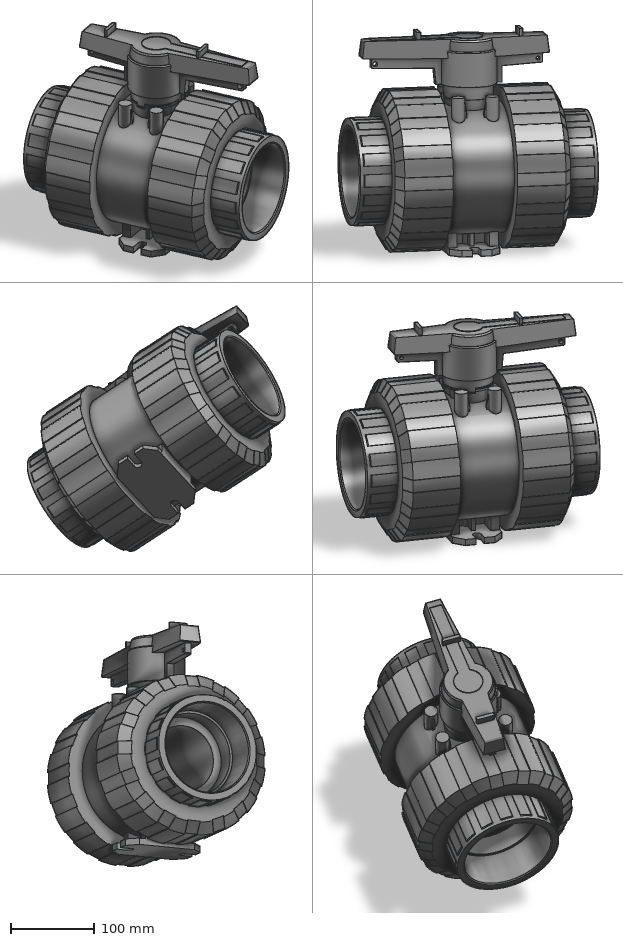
import math

import cadquery as cq

TOTAL_LENGTH = 291.5
BODY_RADIUS = 79.5
BODY_HALF_LENGTH = 76.7
BORE_RADIUS = 40.0

NUT_RADIUS = 98.2
NUT_INNER_X = 39.4
NUT_OUTER_X = 107.5
NUT_BEVEL_LENGTH = 8.7
NUT_BEVEL_DEPTH = 14.3
NUT_SLOT_COUNT = 16
NUT_SLOT_WIDTH = 16.0
NUT_SLOT_DEPTH = 1.5

SOCKET_RADIUS = 64.5
SOCKET_MOUTH_RADIUS = 54.8
SOCKET_BORE_END_RADIUS = 53.3
SOCKET_STOP_RADIUS = 50.0
SOCKET_DEPTH = 43.7
SOCKET_MOUTH_CHAMFER = 1.5
PAD_COUNT = 16
PAD_ANGLE = 13.5
PAD_HEIGHT = 1.0
PAD_END_GAP = 4.0
PAD_END_SLOPE = 1.2

NECK_RADIUS = 29.0
NECK_TOP_Z = 87.2
STOP_RADIUS = 30.3
STOP_START_ANGLE = -153.0
STOP_DIP_START_ANGLE = -112.0
STOP_DIP_END_ANGLE = -90.0
STOP_END_ANGLE = -27.0
STOP_LEFT_TOP_Z = 89.0
STOP_DIP_TOP_Z = 85.5
STOP_RIGHT_TOP_Z = 90.5
STOP_CLEARANCE = 1.5
SKIRT_NOTCH_START_ANGLE = -180.0
SKIRT_NOTCH_END_ANGLE = 0.0
POST_RADIUS = 8.2
POST_X = 21.0
POST_Y = 40.0
POST_TOP_Z = 93.0
SIDE_FIN_REACH = 2.2
INNER_FIN_REACH = 1.2
INNER_FIN_OFFSET_X = 3.5
FIN_WIDTH = 3.5
FIN_TOP_Z = 86.0
FIN_BASE_Z = 73.2

FOOT_BOTTOM_Z = -100.0
FOOT_TOP_Z = -92.0
FOOT_LENGTH = 62.0
FOOT_WIDTH = 98.8
FOOT_CORNER_X = 12.5
FOOT_CORNER_Y = 13.0
FOOT_SLOT_WIDTH = 10.5
FOOT_SLOT_CENTRE_Y = 36.1
LEG_THICKNESS = 11.5
LEG_WIDTH = 56.8
FOOT_WEB_WIDTH = 3.0
FOOT_BOSS_RADIUS = 7.3
FOOT_RIB_THICKNESS = 5.0
FOOT_RIB_WIDTH = 43.7

SKIRT_RADIUS = STOP_RADIUS
HUB_RADIUS = 34.5
HUB_BOTTOM_Z = 103.2
HUB_SHOULDER_Z = 146.0
HUB_EDGE_CHAMFER = 1.5
CAP_BASE_RADIUS = 32.0
CAP_TOP_RADIUS = 30.5
CAP_EDGE_INSET = 1.5
CAP_EDGE_DROP = 2.3
HANDLE_TOP_Z = 159.7
LEVER_REAR_X = -97.0
LEVER_FRONT_X = 132.0
LEVER_REAR_HALF_WIDTH = 14.0
LEVER_FRONT_HALF_WIDTH = 11.7
LEVER_MIDDLE_HALF_WIDTH = 21.0
LEVER_MIDDLE_Z = 136.5
LEVER_END_Z = 138.8
LEVER_DRAFT = 6.5
LEVER_END_FILLET = 1.7
LEVER_END_BEVEL_INSET = 1.0
LEVER_END_BEVEL_RISE = 2.0
WEB_REAR_X = -90.5
WEB_FRONT_X = 119.8
WEB_HEIGHT = 13.5
WEB_END_CHAMFER = 1.5
WEB_END_HALF_WIDTH = 4.0
WEB_MIDDLE_HALF_WIDTH = 5.5
GUSSET_REAR_X = -40.5
GUSSET_FRONT_BOTTOM_X = 40.5
GUSSET_FRONT_TOP_X = 42.5
HOLE_Z = 130.5
REAR_HOLE_X = -84.8
REAR_HOLE_RADIUS = 2.3
FRONT_HOLE_X = 114.9
FRONT_HOLE_RADIUS = 3.0
BADGE_RADIUS = 17.5
BADGE_STRIP_WIDTH = 15.2
BADGE_END_X = 119.8
BADGE_HEIGHT = 1.0
TAB_X = 62.7
TAB_THICKNESS = 4.5
TAB_WIDTH = 22.5
TAB_TOP_Z = 168.5
TAB_EDGE_FILLET = 2.0


def x_cylinder(radius, start_x, end_x):
    """Cylinder on the X axis between two X positions."""
    return cq.Workplane("YZ").workplane(offset=start_x).circle(radius).extrude(end_x - start_x)


def revolve_about_x(points):
    """Revolve an outline of (x, radius) points around the X axis."""
    return cq.Workplane("XY").polyline(points).close().revolve(360, (0, 0, 0), (1, 0, 0))


def box(x0, x1, y0, y1, z0, z1):
    """Block between opposite corners."""
    return cq.Workplane("XY").box(x1 - x0, y1 - y0, z1 - z0, centered=False).translate((x0, y0, z0))


def z_cylinder(radius, bottom_z, top_z, x=0.0, y=0.0):
    """Upright cylinder between two Z positions."""
    return cq.Workplane("XY").workplane(offset=bottom_z).center(x, y).circle(radius).extrude(top_z - bottom_z)


def sector(radius, start_degrees, end_degrees, bottom_z, top_z):
    """Pie-shaped block around the Z axis."""
    angles = (start_degrees, (start_degrees + end_degrees) / 2, end_degrees)
    corners = [(radius * math.cos(math.radians(a)), radius * math.sin(math.radians(a))) for a in angles]
    outline = cq.Workplane("XY").workplane(offset=bottom_z).lineTo(*corners[0])
    return outline.threePointArc(corners[1], corners[2]).close().extrude(top_z - bottom_z)


def make_fin(reach):
    """Tapering fin that sticks out of a post towards +X; the post axis is the Z axis."""
    outer_x = POST_RADIUS + reach
    points = [(0, FIN_TOP_Z), (POST_RADIUS, FIN_TOP_Z), (outer_x, FIN_BASE_Z), (outer_x, 0), (0, 0)]
    return cq.Workplane("XZ").polyline(points).close().extrude(FIN_WIDTH / 2, both=True)


def make_post():
    """Round post at +X +Y with one fin along the pipe and one towards the neck."""
    side_fin = make_fin(SIDE_FIN_REACH).rotate((0, 0, 0), (0, 0, 1), 180)
    inner_fin = make_fin(INNER_FIN_REACH).rotate((0, 0, 0), (0, 0, 1), -90)
    inner_fin = inner_fin.translate((INNER_FIN_OFFSET_X, 0, 0))
    post = z_cylinder(POST_RADIUS, 0, POST_TOP_Z).union(side_fin).union(inner_fin)
    return post.translate((POST_X, POST_Y, 0))


def make_foot():
    """Slotted mounting plate joined to the body by two legs, a thin web, a boss and a rib."""
    half_length = FOOT_LENGTH / 2
    half_width = FOOT_WIDTH / 2
    plate_height = FOOT_TOP_Z - FOOT_BOTTOM_Z
    corner_x = half_length - FOOT_CORNER_X
    corner_y = half_width - FOOT_CORNER_Y
    plate_points = [
        (corner_x, half_width), (half_length, corner_y),
        (half_length, -corner_y), (corner_x, -half_width),
        (-corner_x, -half_width), (-half_length, -corner_y),
        (-half_length, corner_y), (-corner_x, half_width),
    ]
    plate_base = cq.Workplane("XY").workplane(offset=FOOT_BOTTOM_Z)
    foot = plate_base.polyline(plate_points).close().extrude(plate_height)
    slot_length = FOOT_WIDTH - 2 * FOOT_SLOT_CENTRE_Y + FOOT_SLOT_WIDTH
    slots = (
        cq.Workplane("XY").workplane(offset=FOOT_BOTTOM_Z)
        .pushPoints([(0, half_width), (0, -half_width)])
        .slot2D(slot_length, FOOT_SLOT_WIDTH, 90).extrude(plate_height)
    )
    foot = foot.cut(slots)
    leg_y = LEG_WIDTH / 2
    leg = box(half_length - LEG_THICKNESS, half_length, -leg_y, leg_y, FOOT_TOP_Z, 0)
    foot = foot.union(leg).union(leg.mirror("YZ"))
    web_y = FOOT_WEB_WIDTH / 2
    foot = foot.union(box(-half_length, half_length, -web_y, web_y, FOOT_TOP_Z, 0))
    rib_x = FOOT_RIB_THICKNESS / 2
    rib_y = FOOT_RIB_WIDTH / 2
    foot = foot.union(box(-rib_x, rib_x, -rib_y, rib_y, FOOT_TOP_Z, 0))
    return foot.union(z_cylinder(FOOT_BOSS_RADIUS, FOOT_TOP_Z, 0))


def make_stop():
    """Thickened front of the neck with a dip in its top edge for the tooth of the handle skirt."""
    steps = [
        (STOP_START_ANGLE, STOP_DIP_START_ANGLE, STOP_LEFT_TOP_Z),
        (STOP_DIP_START_ANGLE, STOP_DIP_END_ANGLE, STOP_DIP_TOP_Z),
        (STOP_DIP_END_ANGLE, STOP_END_ANGLE, STOP_RIGHT_TOP_Z),
    ]
    stop = cq.Workplane("XY")
    for start, end, top_z in steps:
        stop = stop.add(sector(STOP_RADIUS, start, end, 0, top_z))
    handle_core = z_cylinder(NECK_RADIUS, NECK_TOP_Z, STOP_RIGHT_TOP_Z)
    return stop.combine().cut(handle_core)


def make_body():
    """Valve body with neck, stop, posts and foot; the bore runs right through."""
    body = x_cylinder(BODY_RADIUS, -BODY_HALF_LENGTH, BODY_HALF_LENGTH)
    body = body.union(z_cylinder(NECK_RADIUS, 0, NECK_TOP_Z))
    body = body.union(make_stop())
    post = make_post()
    post_pair = post.union(post.mirror("YZ"))
    body = body.union(post_pair).union(post_pair.mirror("XZ"))
    body = body.union(make_foot())
    return body.cut(x_cylinder(BORE_RADIUS, -BODY_HALF_LENGTH, BODY_HALF_LENGTH))


def nut_blank(inset):
    """Solid nut shape with its outer surface lowered by the inset."""
    radius = NUT_RADIUS - inset
    points = [
        (NUT_INNER_X, 0), (NUT_INNER_X, radius), (NUT_OUTER_X - NUT_BEVEL_LENGTH, radius),
        (NUT_OUTER_X, radius - NUT_BEVEL_DEPTH), (NUT_OUTER_X, 0),
    ]
    return revolve_about_x(points)


def make_nut(side):
    """Slotted union nut that encloses the body end and the socket; side is -1 or 1 along X."""
    crests = nut_blank(0)
    half_slot = NUT_SLOT_WIDTH / 2
    slot = box(NUT_INNER_X, NUT_OUTER_X, -half_slot, half_slot, SOCKET_RADIUS, NUT_RADIUS)
    for i in range(NUT_SLOT_COUNT):
        crests = crests.cut(slot.rotate((0, 0, 0), (1, 0, 0), i * 360 / NUT_SLOT_COUNT))
    nut = nut_blank(NUT_SLOT_DEPTH).union(crests)
    nut = nut.cut(x_cylinder(BODY_RADIUS, NUT_INNER_X, BODY_HALF_LENGTH))
    nut = nut.cut(x_cylinder(SOCKET_RADIUS, BODY_HALF_LENGTH, NUT_OUTER_X))
    return nut if side > 0 else nut.mirror("YZ")


def make_socket_pads():
    """Raised grip pads around the exposed part of the socket, with sloping outer ends."""
    end_x = TOTAL_LENGTH / 2 - PAD_END_GAP
    top_radius = SOCKET_RADIUS + PAD_HEIGHT
    ring = revolve_about_x([
        (NUT_OUTER_X, SOCKET_MOUTH_RADIUS), (NUT_OUTER_X, top_radius), (end_x - PAD_END_SLOPE, top_radius),
        (end_x, SOCKET_RADIUS), (end_x, SOCKET_MOUTH_RADIUS),
    ])
    wedge_height = 2 * SOCKET_RADIUS
    wedge_half_width = wedge_height * math.tan(math.radians(PAD_ANGLE / 2))
    wedge_points = [(0, 0), (-wedge_half_width, wedge_height), (wedge_half_width, wedge_height)]
    wedge = cq.Workplane("YZ").polyline(wedge_points).close().extrude(end_x)
    pad = ring.intersect(wedge)
    return [pad.rotate((0, 0, 0), (1, 0, 0), i * 360 / PAD_COUNT) for i in range(PAD_COUNT)]


def make_socket(side):
    """Pipe socket that butts against the body end; side is -1 or 1 along X."""
    end_x = TOTAL_LENGTH / 2
    stop_x = end_x - SOCKET_DEPTH
    socket = x_cylinder(SOCKET_RADIUS, BODY_HALF_LENGTH, end_x)
    for pad in make_socket_pads():
        socket = socket.union(pad)
    mouth_x = end_x - SOCKET_MOUTH_CHAMFER
    cavity = revolve_about_x([
        (BODY_HALF_LENGTH, 0), (BODY_HALF_LENGTH, SOCKET_STOP_RADIUS), (stop_x, SOCKET_STOP_RADIUS),
        (stop_x, SOCKET_BORE_END_RADIUS), (mouth_x, SOCKET_MOUTH_RADIUS),
        (end_x, SOCKET_MOUTH_RADIUS + SOCKET_MOUTH_CHAMFER), (end_x, 0),
    ])
    socket = socket.cut(cavity)
    return socket if side > 0 else socket.mirror("YZ")


def make_hub():
    """Skirt, hub drum and tapered cap, with the skirt notched at the front except for one tooth."""
    points = [
        (0, NECK_TOP_Z), (SKIRT_RADIUS, NECK_TOP_Z), (SKIRT_RADIUS, HUB_BOTTOM_Z), (HUB_RADIUS, HUB_BOTTOM_Z),
        (HUB_RADIUS, HUB_SHOULDER_Z - HUB_EDGE_CHAMFER), (HUB_RADIUS - HUB_EDGE_CHAMFER, HUB_SHOULDER_Z),
        (CAP_BASE_RADIUS, HUB_SHOULDER_Z), (CAP_TOP_RADIUS, HANDLE_TOP_Z - CAP_EDGE_DROP),
        (CAP_TOP_RADIUS - CAP_EDGE_INSET, HANDLE_TOP_Z), (0, HANDLE_TOP_Z),
    ]
    hub = cq.Workplane("XZ").polyline(points).close().revolve(360, (0, 0, 0), (0, 1, 0))
    core = z_cylinder(NECK_RADIUS, NECK_TOP_Z, HUB_BOTTOM_Z)
    left_notch_top = STOP_LEFT_TOP_Z + STOP_CLEARANCE
    right_notch_top = STOP_RIGHT_TOP_Z + STOP_CLEARANCE
    left_notch = sector(HUB_RADIUS, SKIRT_NOTCH_START_ANGLE, STOP_DIP_START_ANGLE, NECK_TOP_Z, left_notch_top)
    right_notch = sector(HUB_RADIUS, STOP_DIP_END_ANGLE, SKIRT_NOTCH_END_ANGLE, NECK_TOP_Z, right_notch_top)
    return hub.cut(left_notch.cut(core)).cut(right_notch.cut(core))


def symmetric_plan(half_outline):
    """Close a half outline of (x, half width) points by mirroring it across the X axis."""
    return half_outline + [(x, -y) for x, y in reversed(half_outline)]


def make_lever():
    """Drafted two-armed grip, widest at the hub axis, with a slightly sloping underside."""
    plan = symmetric_plan([
        (LEVER_REAR_X, LEVER_REAR_HALF_WIDTH),
        (0, LEVER_MIDDLE_HALF_WIDTH),
        (LEVER_FRONT_X, LEVER_FRONT_HALF_WIDTH),
    ])
    lever = (
        cq.Workplane("XY").workplane(offset=LEVER_MIDDLE_Z).polyline(plan).close()
        .extrude(HANDLE_TOP_Z - LEVER_MIDDLE_Z, taper=LEVER_DRAFT)
    )
    lever = lever.faces(">Z").edges("|Y").fillet(LEVER_END_FILLET)
    bevel_top_z = LEVER_END_Z + LEVER_END_BEVEL_RISE
    side_points = [
        (LEVER_REAR_X, bevel_top_z), (LEVER_REAR_X + LEVER_END_BEVEL_INSET, LEVER_END_Z),
        (0, LEVER_MIDDLE_Z), (LEVER_FRONT_X - LEVER_END_BEVEL_INSET, LEVER_END_Z),
        (LEVER_FRONT_X, bevel_top_z), (LEVER_FRONT_X, HANDLE_TOP_Z), (LEVER_REAR_X, HANDLE_TOP_Z),
    ]
    side = cq.Workplane("XZ").polyline(side_points).close().extrude(LEVER_MIDDLE_HALF_WIDTH, both=True)
    return lever.intersect(side)


def make_handle_web():
    """Thin web with hang holes below the lever, deepened to a gusset beside the hub."""
    end_bottom_z = LEVER_END_Z - WEB_HEIGHT
    middle_bottom_z = LEVER_MIDDLE_Z - WEB_HEIGHT
    side_points = [
        (WEB_REAR_X, end_bottom_z + WEB_END_CHAMFER), (WEB_REAR_X + WEB_END_CHAMFER, end_bottom_z),
        (GUSSET_REAR_X, middle_bottom_z), (GUSSET_REAR_X, HUB_BOTTOM_Z),
        (GUSSET_FRONT_BOTTOM_X, HUB_BOTTOM_Z), (GUSSET_FRONT_TOP_X, middle_bottom_z),
        (WEB_FRONT_X - WEB_END_CHAMFER, end_bottom_z), (WEB_FRONT_X, end_bottom_z + WEB_END_CHAMFER),
        (WEB_FRONT_X, LEVER_END_Z), (WEB_REAR_X, LEVER_END_Z),
    ]
    side = cq.Workplane("XZ").polyline(side_points).close().extrude(WEB_MIDDLE_HALF_WIDTH, both=True)
    plan = symmetric_plan([
        (WEB_REAR_X, WEB_END_HALF_WIDTH), (0, WEB_MIDDLE_HALF_WIDTH), (WEB_FRONT_X, WEB_END_HALF_WIDTH),
    ])
    web = cq.Workplane("XY").polyline(plan).close().extrude(HANDLE_TOP_Z).intersect(side)
    for x, radius in ((REAR_HOLE_X, REAR_HOLE_RADIUS), (FRONT_HOLE_X, FRONT_HOLE_RADIUS)):
        hole = cq.Workplane("XZ").center(x, HOLE_Z).circle(radius).extrude(WEB_MIDDLE_HALF_WIDTH, both=True)
        web = web.cut(hole)
    return web


def make_badge():
    """Raised keyhole-shaped badge on top of the handle."""
    badge_top = HANDLE_TOP_Z + BADGE_HEIGHT
    strip_y = BADGE_STRIP_WIDTH / 2
    strip = box(0, BADGE_END_X, -strip_y, strip_y, HANDLE_TOP_Z, badge_top)
    return z_cylinder(BADGE_RADIUS, HANDLE_TOP_Z, badge_top).union(strip)


def make_tab():
    """Front upright tab with its two outer vertical edges rounded."""
    half_width = TAB_WIDTH / 2
    half_thickness = TAB_THICKNESS / 2
    tab = box(TAB_X - half_thickness, TAB_X + half_thickness, -half_width, half_width, HANDLE_TOP_Z, TAB_TOP_Z)
    return tab.faces(">X").edges("|Z").fillet(TAB_EDGE_FILLET)


def make_handle():
    """Complete handle in one piece, seated on top of the neck."""
    handle = make_hub().union(make_lever()).union(make_handle_web()).union(make_badge())
    tab = make_tab()
    return handle.union(tab).union(tab.mirror("YZ"))


body = make_body()
nuts = [make_nut(side) for side in (-1, 1)]
sockets = [make_socket(side) for side in (-1, 1)]
handle = make_handle()

result = cq.Compound.makeCompound(
    [body.val(), *[nut.val() for nut in nuts], *[socket.val() for socket in sockets], handle.val()]
)